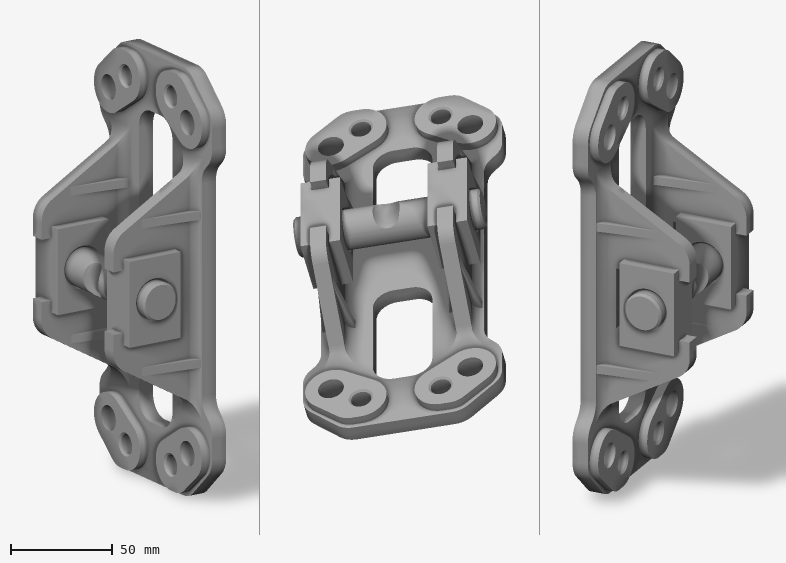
import cadquery as cq
import math


plate_width = 100.0
plate_height = 220.0
plate_thickness = 8.4
total_depth = 57.0

corner_cut_x = 20.5
corner_cut_z = 19.1
corner_radius = 12.3
waist_half_width = 41.0
shoulder_z = 69.0
shoulder_radius = 11.7

window_width = 30.0
window_bottom = 18.0
window_top = 80.0
window_radius = 10.5

boss_height = 4.6
boss_radius = 13.0
boss_corner_radius = 10.8
boss_corner_x = 24.6
screw_x = 20.0
screw_z = 94.8
screw_diameter = 10.1
screw_mouth_diameter = 12.0
screw_chamfer = (screw_mouth_diameter - screw_diameter) / 2
screw_chamfer_angle = 45.0
dowel_x = 35.0
dowel_z = 85.1
dowel_diameter = 13.0

web_x = 32.0
web_thickness = 8.0
web_foot_half_height = 67.3
web_end_fillet = 12.0
web_foot_height = 4.0
web_foot_spread = 5.0
web_nose_radius = 12.0
web_slope = 60.0
web_slot_half_height = 16.0
web_slot_floor = 17.0

rib_z = 38.0
rib_thickness = 4.5
rib_base_width = 4.5
rib_reach = 40.0

block_width = 20.0
block_depth = 30.0
block_height = 44.2
block_groove_width = 8.8
bore_chamfer = 1.0

pin_diameter = 20.0
pin_length = 93.7
pin_depth = 36.5
pin_chamfer = 1.0
pin_notch_radius = 7.0
pin_notch_offset = 12.0

plate_face = -plate_thickness
boss_face = plate_face - boss_height
foot_top = plate_face - web_foot_height


def facing_front(y):
    """Sketch plane at the given Y: X to the right, Z up, extruding towards -Y."""
    return cq.Workplane("XZ", origin=(0, y, 0))


def in_all_quarters(solid):
    """The solid and its mirror images across the YZ and XY planes."""
    half = solid.union(solid.mirror("YZ"))
    return half.union(half.mirror("XY"))


def tangent_points(start, end):
    """Contact points of the line that leaves two (x, z, radius) circles on its left."""
    x0, z0, r0 = start
    x1, z1, r1 = end
    heading = math.atan2(z1 - z0, x1 - x0)
    tilt = math.asin((r0 - r1) / math.hypot(x1 - x0, z1 - z0))
    normal = heading - math.pi / 2 + tilt
    return [(x + r * math.cos(normal), z + r * math.sin(normal)) for x, z, r in (start, end)]


def belt_around(circles, plane):
    """Closed outline stretched round circles that are listed anticlockwise."""
    count = len(circles)
    lines = [tangent_points(circles[i], circles[(i + 1) % count]) for i in range(count)]
    outline = plane.moveTo(*lines[0][0])
    for i in range(count):
        x, z, radius = circles[(i + 1) % count]
        arrive = lines[i][1]
        leave = lines[(i + 1) % count][0]
        start = math.atan2(arrive[1] - z, arrive[0] - x)
        sweep = (math.atan2(leave[1] - z, leave[0] - x) - start) % (2 * math.pi)
        middle = start + sweep / 2
        outline = outline.lineTo(*arrive).threePointArc(
            (x + radius * math.cos(middle), z + radius * math.sin(middle)), leave
        )
    return outline.close()


def make_plate():
    half_width = plate_width / 2
    half_height = plate_height / 2
    waist_z = shoulder_z - (half_width - waist_half_width)
    corner = [(half_width - corner_cut_x, half_height), (half_width, half_height - corner_cut_z)]
    shoulder = [(half_width, shoulder_z), (waist_half_width, waist_z)]
    right_top = corner + shoulder
    right = right_top + [(x, -z) for x, z in reversed(right_top)]
    outline = right + [(-x, z) for x, z in reversed(right)]
    plate = facing_front(0).polyline(outline).close().extrude(plate_thickness)

    def round_edges(body, points, radius):
        for x, z in points:
            for px, pz in ((x, z), (-x, z), (x, -z), (-x, -z)):
                spot = cq.selectors.NearestToPointSelector((px, plate_face / 2, pz))
                body = body.edges("|Y").edges(spot).fillet(radius)
        return body

    plate = round_edges(plate, corner, corner_radius)
    return round_edges(plate, shoulder, shoulder_radius)


def make_windows():
    height = window_top - window_bottom
    centre_z = (window_top + window_bottom) / 2
    window = facing_front(0).center(0, centre_z).rect(window_width, height).extrude(plate_thickness)
    window = window.edges("|Y").fillet(window_radius)
    return window.union(window.mirror("XY"))


def make_bosses():
    boss_top = screw_z + boss_radius
    circles = [
        (dowel_x, dowel_z, boss_radius),
        (boss_corner_x, boss_top - boss_corner_radius, boss_corner_radius),
        (screw_x, screw_z, boss_radius),
    ]
    return in_all_quarters(belt_around(circles, facing_front(plate_face)).extrude(boss_height))


def make_boss_holes():
    depth = -boss_face
    dowel = facing_front(0).center(dowel_x, dowel_z).circle(dowel_diameter / 2).extrude(depth)
    screw = facing_front(0).center(screw_x, screw_z).circle(screw_diameter / 2).extrude(depth)
    mouth = (
        facing_front(boss_face)
        .center(screw_x, screw_z)
        .circle(screw_mouth_diameter / 2)
        .extrude(-screw_chamfer, taper=screw_chamfer_angle)
    )
    return in_all_quarters(dowel.union(screw).union(mouth))


def web_side_shape(width):
    """Web outline in the YZ plane, extruded symmetrically about X = 0."""
    slope = math.radians(web_slope)
    rise = 1 - math.cos(slope)
    run = math.sin(slope)
    foot_end_y = plate_face - web_end_fillet * rise
    foot_end_z = web_foot_half_height - web_end_fillet * run
    nose_start_y = -total_depth + web_nose_radius * rise
    nose_start_z = foot_end_z - (foot_end_y - nose_start_y) / math.tan(slope)
    nose_end_z = nose_start_z - web_nose_radius * run
    upper = (
        cq.Workplane("YZ", origin=(-width / 2, 0, 0))
        .moveTo(plate_face, 0)
        .lineTo(plate_face, web_foot_half_height)
        .radiusArc((foot_end_y, foot_end_z), web_end_fillet)
        .lineTo(nose_start_y, nose_start_z)
        .radiusArc((-total_depth, nose_end_z), -web_nose_radius)
        .lineTo(-total_depth, web_slot_half_height)
        .lineTo(-web_slot_floor, web_slot_half_height)
        .lineTo(-web_slot_floor, 0)
        .close()
        .extrude(width)
    )
    return upper.union(upper.mirror("XY"))


def web_cross_section(foot_width):
    """Web with flared foot, drawn in the XY plane and extruded along Z."""
    half_foot = foot_width / 2
    half_web = web_thickness / 2
    radius = (web_foot_spread**2 + web_foot_height**2) / (2 * web_foot_height)
    return (
        cq.Workplane("XY", origin=(0, 0, -web_foot_half_height))
        .moveTo(-half_foot, plate_face)
        .lineTo(half_foot, plate_face)
        .radiusArc((half_web, foot_top), -radius)
        .lineTo(half_web, -total_depth)
        .lineTo(-half_web, -total_depth)
        .lineTo(-half_web, foot_top)
        .radiusArc((-half_foot, plate_face), -radius)
        .close()
        .extrude(2 * web_foot_half_height)
    )


def make_ribs():
    base = web_thickness / 2 + rib_base_width
    tip = web_thickness / 2
    outline = [(-base, plate_face), (base, plate_face), (tip, -rib_reach), (-tip, -rib_reach)]
    rib = (
        cq.Workplane("XY", origin=(0, 0, rib_z))
        .polyline(outline)
        .close()
        .extrude(rib_thickness / 2, both=True)
    )
    return rib.union(rib.mirror("XY"))


def make_web():
    foot_width = web_thickness + 2 * web_foot_spread
    web = web_side_shape(foot_width).intersect(web_cross_section(foot_width))
    return web.union(make_ribs())


def make_bracket():
    body = make_plate().cut(make_windows()).union(make_bosses()).cut(make_boss_holes())
    web = make_web()
    for side in (-1, 1):
        body = body.union(web.translate((side * web_x, 0, 0)))
    return body


def make_block(x):
    """Block that rides in a web slot, grooved top and bottom to straddle the web."""
    block = cq.Workplane("XY").box(block_width, block_depth, block_height)
    groove_depth = block_height / 2 - web_slot_half_height
    groove_z = web_slot_half_height + groove_depth / 2
    for side in (-1, 1):
        groove = cq.Workplane("XY").box(block_groove_width, block_depth, groove_depth)
        block = block.cut(groove.translate((0, 0, side * groove_z)))
    bore_plane = cq.Workplane("YZ", origin=(-block_width / 2, 0, 0))
    block = block.cut(bore_plane.circle(pin_diameter / 2).extrude(block_width))
    block = block.faces("<X or >X").edges("%CIRCLE").chamfer(bore_chamfer)
    return block.translate((x, -pin_depth, 0))


def make_pin():
    pin = (
        cq.Workplane("YZ", origin=(-pin_length / 2, 0, 0))
        .circle(pin_diameter / 2)
        .extrude(pin_length)
    )
    pin = pin.faces("<X or >X").chamfer(pin_chamfer)
    notch = (
        cq.Workplane("XY", origin=(0, -pin_notch_offset, -pin_diameter / 2))
        .circle(pin_notch_radius)
        .extrude(pin_diameter)
    )
    return pin.cut(notch).translate((0, -pin_depth, 0))


bracket = make_bracket()
blocks = [make_block(side * web_x) for side in (-1, 1)]
pin = make_pin()

result = cq.Compound.makeCompound([bracket.val(), *[block.val() for block in blocks], pin.val()])